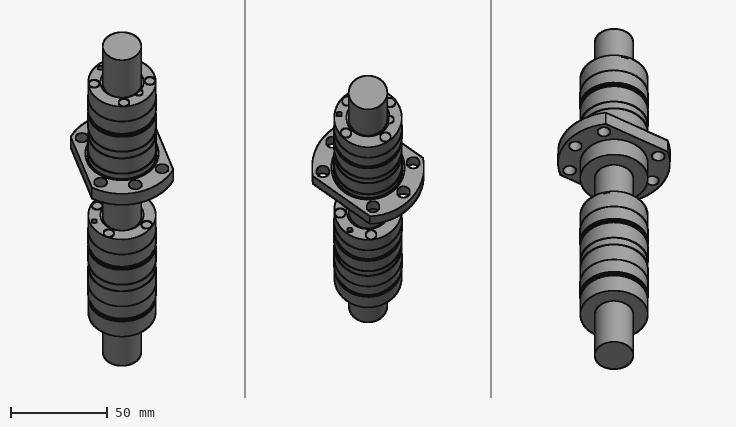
import cadquery as cq
import math

shaft_radius = 10.0
shaft_length = 230.0

nut_length = 73.0
ring_radius = 17.65
band_radius = 17.6
cap_radius = 17.5
collar_radius = 17.4
neck_radius = 17.3
groove_radius = 16.85
cap_height = 11.2
ring_height = 9.0
groove_width = 1.5
collar_height = 1.1
band_height = 11.2
neck_height = 5.0

plain_nut_base = 30.0
plain_pocket_angles = (45, 135, 225, 315)
plain_pin_angle = 270

flanged_nut_base = 130.0
hub_height = 11.2
flange_thickness = 8.3
flange_radius = 29.0
flange_width = 44.0
boss_radius = 18.0
relief_radius = 19.0
relief_depth = 0.4
flanged_pocket_angles = (-13, 77, 176, 257)
flanged_pin_angle = 211

bolt_hole_diameter = 6.6
bolt_circle_radius = 23.5
bolt_angles = (0, 45, 135, 180, 225, 315)
oil_hole_diameter = 5.0
oil_hole_angle = 157.5

bore_chamfer = 1.2
pocket_diameter = 5.5
pocket_circle_radius = 14.5
pocket_depth = 0.5
pin_hole_diameter = 2.8
pin_circle_radius = 15.0
pin_hole_depth = 4.0
notch_diameter = 4.4
notch_circle_radius = 11.2
notch_angle = 33
notch_depth = 0.5

cap = (cap_radius, cap_height)
ring = (ring_radius, ring_height)
groove = (groove_radius, groove_width)
collar = (collar_radius, collar_height)
band = (band_radius, band_height)
neck = (neck_radius, neck_height)

upper_stretch = [neck, band, collar, groove, ring, cap]


def total_height(bands):
    return sum(height for _, height in bands)


def polar(radius, angle):
    """Point at a radius and an angle in degrees."""
    return (radius * math.cos(math.radians(angle)), radius * math.sin(math.radians(angle)))


def plane_at(level):
    """Horizontal workplane centred on the shaft axis."""
    return cq.Workplane("XY", origin=(0, 0, level))


def stack(base, bands):
    """Coaxial discs piled up from the base level."""
    body = cq.Workplane("XY")
    level = base
    for radius, height in bands:
        body = body.union(plane_at(level).circle(radius).extrude(height))
        level += height
    return body


def sink(body, top, points, diameter, depth):
    """Cut round recesses downward from the level of the top face."""
    return body.cut(plane_at(top).pushPoints(points).circle(diameter / 2).extrude(-depth))


def bore_nut(body, base):
    """Bore the nut to fit the shaft, with a chamfered mouth in the upper face."""
    body = body.cut(plane_at(base).circle(shaft_radius).extrude(nut_length))
    mouth = body.faces(">Z").edges(cq.selectors.RadiusNthSelector(0))
    return mouth.chamfer(bore_chamfer)


def recess_upper_face(body, top, pocket_angles, pin_angle):
    """Shallow round pockets and one small pin hole."""
    pockets = [polar(pocket_circle_radius, angle) for angle in pocket_angles]
    body = sink(body, top, pockets, pocket_diameter, pocket_depth)
    pin_hole = [polar(pin_circle_radius, pin_angle)]
    return sink(body, top, pin_hole, pin_hole_diameter, pin_hole_depth)


def make_shaft():
    return cq.Workplane("XY").circle(shaft_radius).extrude(shaft_length)


def make_plain_nut():
    lower_stretch = [cap, collar, groove, ring, band]
    body = stack(plain_nut_base, lower_stretch + upper_stretch)
    body = bore_nut(body, plain_nut_base)
    top = plain_nut_base + nut_length
    return recess_upper_face(body, top, plain_pocket_angles, plain_pin_angle)


def make_flange(base):
    """Round plate with two flats, bolt holes and a shallow relief around the boss."""
    plate = plane_at(base).circle(flange_radius).extrude(flange_thickness)
    slab = plane_at(base).rect(2 * flange_radius, flange_width).extrude(flange_thickness)
    flange = plate.intersect(slab)
    top = base + flange_thickness
    bolts = [polar(bolt_circle_radius, angle) for angle in bolt_angles]
    flange = sink(flange, top, bolts, bolt_hole_diameter, flange_thickness)
    return sink(flange, top, [(0, 0)], 2 * relief_radius, relief_depth)


def make_oil_hole(flange_base):
    """Radial cylinder from the nut axis out through the rim of the flange."""
    centre = cq.Vector(0, 0, flange_base + flange_thickness / 2)
    direction = cq.Vector(*polar(1, oil_hole_angle), 0)
    return cq.Solid.makeCylinder(oil_hole_diameter / 2, flange_radius, centre, direction)


def make_flanged_nut():
    hub = (cap_radius, hub_height)
    boss_height = nut_length - hub_height - band_height - total_height(upper_stretch)
    boss = (boss_radius, boss_height)
    body = stack(flanged_nut_base, [hub, boss, band] + upper_stretch)
    flange_base = flanged_nut_base + hub_height
    body = body.union(make_flange(flange_base)).cut(make_oil_hole(flange_base))
    body = bore_nut(body, flanged_nut_base)
    top = flanged_nut_base + nut_length
    body = recess_upper_face(body, top, flanged_pocket_angles, flanged_pin_angle)
    return sink(body, top, [polar(notch_circle_radius, notch_angle)], notch_diameter, notch_depth)


shaft = make_shaft()
plain_nut = make_plain_nut().solids()
flanged_nut = make_flanged_nut().solids()

result = cq.Compound.makeCompound([shaft.val(), plain_nut.val(), flanged_nut.val()])